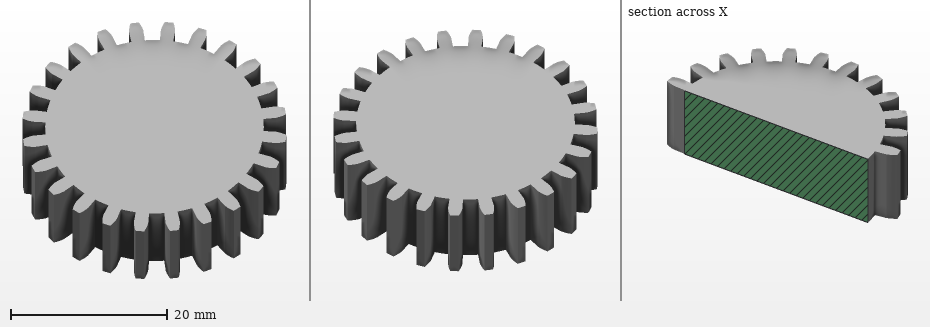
import cadquery as cq
import math

TOOTH_COUNT = 24
MODULE = 1.3
FACE_WIDTH = 10.0
DEDENDUM_FACTOR = 1.25
TIP_DISTANCE = 16.92

ROOT_HALF = 0.86
PITCH_HALF = 0.92
MID_ADDENDUM_HALF = 0.79
TIP_HALF = 0.55

PITCH_RADIUS = MODULE * TOOTH_COUNT / 2
ROOT_RADIUS = PITCH_RADIUS - DEDENDUM_FACTOR * MODULE
TOOTH_PITCH = 360 / TOOTH_COUNT
FIRST_TOOTH_ANGLE = -TOOTH_PITCH / 4


def distance_at(radius, half_thickness):
    """Distance along the tooth axis of a flank point lying on the given circle."""
    return math.sqrt(radius**2 - half_thickness**2)


def make_tooth(angle):
    """One tooth: straight flanks to the pitch circle, arcs above it, a flat tip."""
    root_distance = distance_at(ROOT_RADIUS, ROOT_HALF)
    pitch_distance = distance_at(PITCH_RADIUS, PITCH_HALF)
    mid_distance = (pitch_distance + TIP_DISTANCE) / 2
    return (
        cq.Workplane("XY")
        .lineTo(root_distance, -ROOT_HALF)
        .lineTo(pitch_distance, -PITCH_HALF)
        .threePointArc((mid_distance, -MID_ADDENDUM_HALF), (TIP_DISTANCE, -TIP_HALF))
        .lineTo(TIP_DISTANCE, TIP_HALF)
        .threePointArc((mid_distance, MID_ADDENDUM_HALF), (pitch_distance, PITCH_HALF))
        .lineTo(root_distance, ROOT_HALF)
        .close()
        .extrude(FACE_WIDTH)
        .rotate((0, 0, 0), (0, 0, 1), angle)
    )


def make_gear():
    """Solid root cylinder with the ring of teeth joined to it."""
    gear = cq.Workplane("XY").circle(ROOT_RADIUS).extrude(FACE_WIDTH)
    for index in range(TOOTH_COUNT):
        gear = gear.union(make_tooth(FIRST_TOOTH_ANGLE + index * TOOTH_PITCH))
    return gear


result = make_gear()